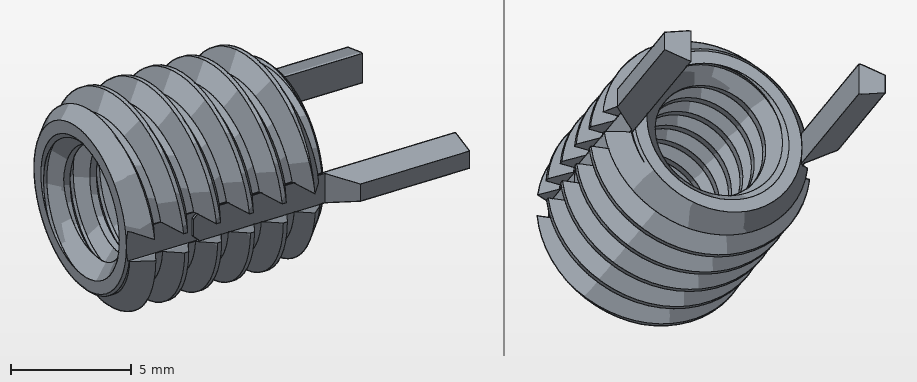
import cadquery as cq
import math

FLANK_ANGLE = math.radians(30)
FLANK_TAN = math.tan(FLANK_ANGLE)
FLAT_RATIO = 1 / 8
DEPTH_RATIO = 5 / 8 * math.cos(FLANK_ANGLE)

CUT_MARGIN = 0.1
SPARE_TURNS = 2

LENGTH = 9.525
CREST_RADIUS = LENGTH / 2
OUTER_PITCH = 1.5875
ROOT_RADIUS = 3.86
END_RADIUS = 3.75
END_CHAMFER = CREST_RADIUS - END_RADIUS

BORE_MAJOR_RADIUS = 3.175
BORE_PITCH = 1.27
BORE_MINOR_RADIUS = BORE_MAJOR_RADIUS - DEPTH_RATIO * BORE_PITCH
COUNTERSINK = BORE_MAJOR_RADIUS - BORE_MINOR_RADIUS

OUTER_GROOVE_START = -0.08
BORE_GROOVE_START = -0.415

KEY_LENGTH = 12.7
KEY_SEATED = KEY_LENGTH / 2
KEY_SPAN = 9.87
KEY_TIP_X = KEY_SPAN / 2
KEY_INNER_X = END_RADIUS
KEY_INNER_WIDTH = 1.42
KEY_TIP_WIDTH = 0.83
KEY_NOSE_CHAMFER = (KEY_INNER_WIDTH - KEY_TIP_WIDTH) / 2


def helical_cutter(profile, pitch, groove_start):
    """Sweep (radius, offset) points along a right-hand helix on Y, past both ends of the bushing."""
    start = groove_start - SPARE_TURNS * pitch
    turns = math.ceil(LENGTH / pitch) + 2 * SPARE_TURNS
    helix = cq.Wire.makeHelix(pitch, turns * pitch, ROOT_RADIUS)
    cutter = cq.Workplane("XZ").polyline(profile).close().sweep(cq.Workplane(helix), isFrenet=True)
    return cutter.translate((0, 0, start)).rotate((0, 0, 0), (1, 0, 0), -90)


def outer_groove():
    """Groove that leaves the outer thread, its crest flats an eighth of the pitch wide."""
    crest_half = (1 - FLAT_RATIO) * OUTER_PITCH / 2
    root_half = crest_half - (CREST_RADIUS - ROOT_RADIUS) * FLANK_TAN
    mouth_half = crest_half + CUT_MARGIN * FLANK_TAN
    mouth_radius = CREST_RADIUS + CUT_MARGIN
    profile = [
        (ROOT_RADIUS, -root_half),
        (mouth_radius, -mouth_half),
        (mouth_radius, mouth_half),
        (ROOT_RADIUS, root_half),
    ]
    return helical_cutter(profile, OUTER_PITCH, OUTER_GROOVE_START)


def bore_groove():
    """Groove of the bore thread, its floor an eighth of the pitch wide."""
    root_half = FLAT_RATIO * BORE_PITCH / 2
    mouth_radius = BORE_MINOR_RADIUS - CUT_MARGIN
    mouth_half = root_half + (BORE_MAJOR_RADIUS - mouth_radius) * FLANK_TAN
    profile = [
        (mouth_radius, -mouth_half),
        (BORE_MAJOR_RADIUS, -root_half),
        (BORE_MAJOR_RADIUS, root_half),
        (mouth_radius, mouth_half),
    ]
    return helical_cutter(profile, BORE_PITCH, BORE_GROOVE_START)


def key_bar(side, y_start, length):
    """Bar with straight sides up to the thread root and tapered sides beyond it."""
    half_inner = KEY_INNER_WIDTH / 2
    half_tip = KEY_TIP_WIDTH / 2
    section = [
        (side * KEY_INNER_X, -half_inner),
        (side * ROOT_RADIUS, -half_inner),
        (side * KEY_TIP_X, -half_tip),
        (side * KEY_TIP_X, half_tip),
        (side * ROOT_RADIUS, half_inner),
        (side * KEY_INNER_X, half_inner),
    ]
    return cq.Workplane("XZ", origin=(0, y_start, 0)).polyline(section).close().extrude(-length)


def bushing_blank():
    """Plain sleeve, chamfered outside and countersunk inside at both ends."""
    half_profile = [
        (BORE_MAJOR_RADIUS, 0),
        (END_RADIUS, 0),
        (CREST_RADIUS, END_CHAMFER),
        (CREST_RADIUS, LENGTH - END_CHAMFER),
        (END_RADIUS, LENGTH),
        (BORE_MAJOR_RADIUS, LENGTH),
        (BORE_MINOR_RADIUS, LENGTH - COUNTERSINK),
        (BORE_MINOR_RADIUS, COUNTERSINK),
    ]
    return cq.Workplane("XY").polyline(half_profile).close().revolve(360, (0, 0, 0), (0, 1, 0))


def build_bushing():
    bushing = bushing_blank().cut(outer_groove()).cut(bore_groove())
    for side in (-1, 1):
        bushing = bushing.cut(key_bar(side, 0, LENGTH))
    return bushing


def build_key(side):
    """Key lying in the slot up to the thread root, with a thicker tang standing out behind."""
    key_front = LENGTH - KEY_SEATED
    key_back = key_front + KEY_LENGTH
    plan = [
        (side * KEY_INNER_X, key_front),
        (side * ROOT_RADIUS, key_front),
        (side * ROOT_RADIUS, LENGTH),
        (side * KEY_TIP_X, LENGTH + KEY_TIP_X - ROOT_RADIUS),
        (side * KEY_TIP_X, key_back),
        (side * KEY_INNER_X, key_back),
    ]
    envelope = cq.Workplane("XY").polyline(plan).close().extrude(KEY_INNER_WIDTH / 2, both=True)
    key = key_bar(side, key_front, KEY_LENGTH).intersect(envelope)
    return key.faces("<Y").edges("|X").chamfer(KEY_NOSE_CHAMFER)


bushing = build_bushing()
keys = [build_key(side) for side in (-1, 1)]

result = cq.Compound.makeCompound([bushing.val(), *[key.val() for key in keys]])